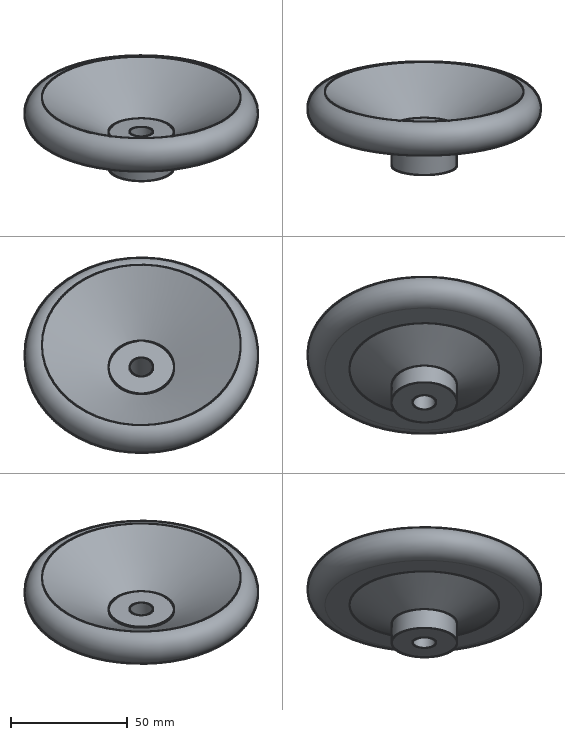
import cadquery as cq

wheel_radius = 50.0
wheel_height = 33.0

rim_thickness = 15.0
rim_radius = rim_thickness / 2
rim_center_radius = wheel_radius - rim_radius
rim_bottom = wheel_height - rim_thickness
rim_middle = wheel_height - rim_radius

hub_radius = 14.0
hub_top = 17.0
bore_radius = 5.0

hub_step = 0.5
web_top_at_hub = hub_top - hub_step
web_bottom_at_hub = 9.0
web_bottom_outer_radius = 32.0


def make_handwheel():
    """Revolve the half section, bore included, around the Z axis."""
    half_section = (
        cq.Workplane("XZ")
        .moveTo(bore_radius, 0)
        .lineTo(hub_radius, 0)
        .lineTo(hub_radius, web_bottom_at_hub)
        .lineTo(web_bottom_outer_radius, rim_bottom)
        .lineTo(rim_center_radius, rim_bottom)
        .threePointArc((wheel_radius, rim_middle), (rim_center_radius, wheel_height))
        .lineTo(hub_radius, web_top_at_hub)
        .lineTo(hub_radius, hub_top)
        .lineTo(bore_radius, hub_top)
        .close()
    )
    return half_section.revolve(360, (0, 0, 0), (0, 1, 0))


result = make_handwheel()